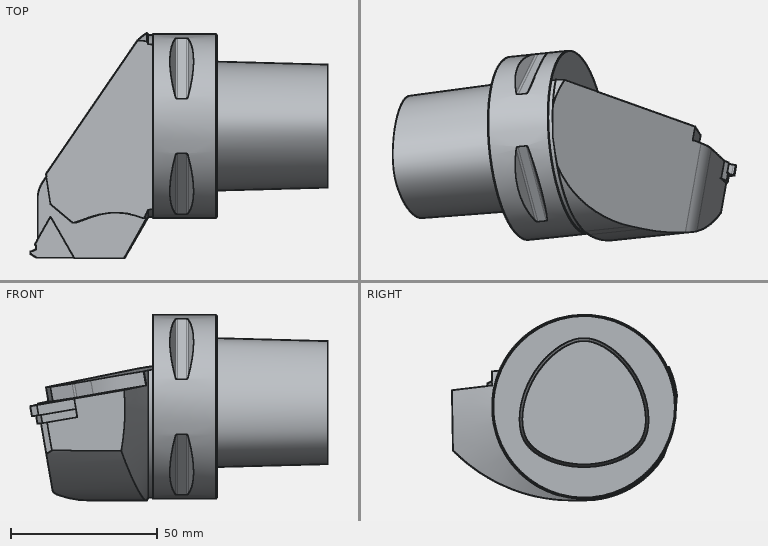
import cadquery as cq
import math


flange_diameter = 63.0
flange_radius = flange_diameter / 2
flange_length = 22.1
front_chamfer = 0.2
rear_chamfer = 0.5
slot_count = 4
slot_center_x = 10.0
slot_floor_width = 4.0
slot_floor_radius = 27.9
slot_wall_angle = 30.0
slot_corner_radius = 0.8

shank_length = 37.9
shank_root_radius = 22.1
shank_end_radius = 21.1
lobe_height = 1.4
shank_points = 48

head_radius = 32.1
belly_flat = 4.1
belly_curve_radius = 57.0
belly_curve_angle = 48.0
profile_top_angle = 40.0
head_reach = 50.9

neck_radius = 31.2
neck_length = 1.4
cone_angle = 60.0
cone_outer_radius = 61.1

rake_height = 13.3
rake_slope_x = 0.172
rake_slope_y = 0.022
step_depth = 4.9
head_depth = 61.1
overlap = 3.1

side_face_y = -45.3
front_face_x = -40.8
corner_chamfer = (2.1, 1.2)
nose_radius = 10.0
back_edge_start = (-5.0, 29.5)
back_edge_end = (-37.1, -16.4)
ledge_corner = (-35.5, -26.7)
ledge_tip = (-27.7, -33.2)
ledge_tip_radius = 0.8
ledge_arc_start = (-21.6, -31.1)
ledge_arc_middle = (-13.3, -29.6)
ledge_arc_end = (-3.3, -31.6)

insert_apex = (-36.4, -31.1)
insert_flank_angle = 60.0
insert_thickness = 3.6
insert_base_thickness = 2.9
insert_side_y = -45.2
base_side_y = -45.1
base_front_x = -42.1
base_front_end_y = -42.3
base_side_start_x = -40.3
thread_profile = [
    (-41.3, -41.1),
    (-41.3, -42.1),
    (-42.7, -42.8),
    (-43.5, -43.0),
    (-43.5, -43.8),
    (-41.1, insert_side_y),
]
thread_start_y = -40.6

rake_plane = cq.Plane(
    origin=(0, 0, rake_height),
    xDir=(1, 0, rake_slope_x),
    normal=(-rake_slope_x, -rake_slope_y, 1),
)


def rake_sketch(depth):
    """Workplane parallel to the rake plane, sunk below it by depth."""
    return cq.Workplane(rake_plane).workplane(offset=-depth)


def flange():
    disc = cq.Workplane("YZ").circle(flange_radius).extrude(flange_length)
    disc = disc.faces("<X").chamfer(front_chamfer)
    disc = disc.faces(">X").chamfer(rear_chamfer)
    for index in range(slot_count):
        angle = (index + 0.5) * 360 / slot_count
        disc = disc.cut(gripper_slot().rotate((0, 0, 0), (1, 0, 0), angle))
    return disc


def gripper_slot():
    """Trapezoidal cutter crossing the rim at +Z as a straight chord."""
    height = flange_radius - slot_floor_radius + overlap
    floor_half = slot_floor_width / 2
    mouth_half = floor_half + height * math.tan(math.radians(slot_wall_angle))
    return (
        cq.Workplane("XZ")
        .center(slot_center_x, slot_floor_radius)
        .polyline([(-floor_half, 0), (floor_half, 0), (mouth_half, height), (-mouth_half, height)])
        .close()
        .extrude(flange_radius, both=True)
        .edges("|Y and <Z")
        .fillet(slot_corner_radius)
    )


def lobed_outline(mean_radius):
    """Points of a three-lobed curve with one lobe towards +Z."""
    points = []
    for index in range(shank_points):
        angle = 2 * math.pi * index / shank_points
        distance = mean_radius - lobe_height * math.sin(3 * angle)
        slope = -3 * lobe_height * math.cos(3 * angle)
        y = distance * math.cos(angle) - slope * math.sin(angle)
        z = distance * math.sin(angle) + slope * math.cos(angle)
        points.append((y, z))
    return points


def shank():
    return (
        cq.Workplane("YZ", origin=(flange_length, 0, 0))
        .spline(lobed_outline(shank_root_radius), periodic=True)
        .close()
        .workplane(offset=shank_length)
        .spline(lobed_outline(shank_end_radius), periodic=True)
        .close()
        .loft(ruled=True, combine=True)
    )


def belly_point(angle):
    """Point on the flatter belly curve, angle in degrees from straight down."""
    turn = math.radians(angle)
    center_z = belly_curve_radius - head_radius
    y = -belly_flat - belly_curve_radius * math.sin(turn)
    z = center_z - belly_curve_radius * math.cos(turn)
    return (y, z)


def head_profile():
    """Cross-section of the head, extruded along X up to the flange."""
    turn = math.radians(profile_top_angle)
    top_y = head_radius * math.cos(turn)
    top_z = head_radius * math.sin(turn)
    belly_end = belly_point(belly_curve_angle)
    return (
        cq.Workplane("YZ")
        .moveTo(top_y, top_z)
        .threePointArc((top_z, -top_y), (0, -head_radius))
        .lineTo(-belly_flat, -head_radius)
        .threePointArc(belly_point(belly_curve_angle / 2), belly_end)
        .lineTo(belly_end[0], top_z)
        .close()
        .extrude(-head_reach)
    )


def neck_and_cone():
    """Revolved envelope: a short neck opening into a cone towards the front."""
    cone_length = (cone_outer_radius - neck_radius) / math.tan(math.radians(cone_angle))
    return (
        cq.Workplane("XY")
        .polyline([
            (0, 0),
            (0, neck_radius),
            (-neck_length, neck_radius),
            (-neck_length - cone_length, cone_outer_radius),
            (-head_reach, cone_outer_radius),
            (-head_reach, 0),
        ])
        .close()
        .revolve(360, (0, 0, 0), (1, 0, 0))
    )


def back_edge_point(x):
    """Point at x on the straight line of the sloping back face."""
    run = back_edge_start[0] - back_edge_end[0]
    rise = back_edge_start[1] - back_edge_end[1]
    return (x, back_edge_end[1] + (x - back_edge_end[0]) * rise / run)


def upper_step():
    """Raised slab whose curved edge leaves room around the insert."""
    slab = (
        rake_sketch(0)
        .moveTo(*back_edge_point(overlap))
        .lineTo(*back_edge_end)
        .lineTo(*ledge_corner)
        .lineTo(*ledge_tip)
        .lineTo(*ledge_arc_start)
        .threePointArc(ledge_arc_middle, ledge_arc_end)
        .lineTo(overlap, ledge_arc_end[1])
        .close()
        .extrude(-step_depth)
    )
    tip = rake_plane.toWorldCoords((*ledge_tip, -step_depth / 2))
    return slab.edges(cq.selectors.NearestToPointSelector(tip)).fillet(ledge_tip_radius)


def lower_block():
    """Main block of the head below the step, with its rounded nose."""
    chamfer_x, chamfer_y = corner_chamfer
    back_end = head_depth * rake_slope_x
    block = (
        rake_sketch(step_depth)
        .polyline([
            back_edge_point(back_end),
            back_edge_point(front_face_x),
            (front_face_x, side_face_y + chamfer_y),
            (front_face_x + chamfer_x, side_face_y),
            (back_end, side_face_y),
        ])
        .close()
        .extrude(-head_depth)
    )
    nose_x, nose_y = back_edge_point(front_face_x)
    nose = rake_plane.toWorldCoords((nose_x, nose_y, -step_depth - head_depth / 2))
    return block.edges(cq.selectors.NearestToPointSelector(nose)).fillet(nose_radius)


def head():
    return upper_step().union(lower_block()).intersect(head_profile()).intersect(neck_and_cone())


def flank_point(y, side):
    """Point at y on a triangle flank; side is -1 for front and 1 for back."""
    drop = insert_apex[1] - y
    return (insert_apex[0] + side * drop / math.tan(math.radians(insert_flank_angle)), y)


def insert():
    cutting_layer = (
        rake_sketch(step_depth)
        .polyline([
            insert_apex,
            flank_point(thread_start_y, -1),
            *thread_profile,
            flank_point(insert_side_y, 1),
        ])
        .close()
        .extrude(-insert_thickness)
    )
    base_drop = (insert_apex[0] - base_front_x) * math.tan(math.radians(insert_flank_angle))
    base_layer = (
        rake_sketch(step_depth + insert_thickness)
        .polyline([
            insert_apex,
            (base_front_x, insert_apex[1] - base_drop),
            (base_front_x, base_front_end_y),
            (base_side_start_x, base_side_y),
            flank_point(base_side_y, 1),
        ])
        .close()
        .extrude(-insert_base_thickness)
    )
    return cutting_layer.union(base_layer)


def insert_pocket():
    """Triangular seat, open to the front and to the side of the head."""
    open_y = side_face_y - overlap
    return (
        rake_sketch(step_depth)
        .polyline([
            insert_apex,
            flank_point(open_y, -1),
            (flank_point(insert_side_y, 1)[0], open_y),
            flank_point(insert_side_y, 1),
        ])
        .close()
        .extrude(-insert_thickness - insert_base_thickness)
    )


holder = flange().union(shank()).union(head()).cut(insert_pocket())
cutting_insert = insert()

result = cq.Compound.makeCompound([holder.val(), cutting_insert.val()])